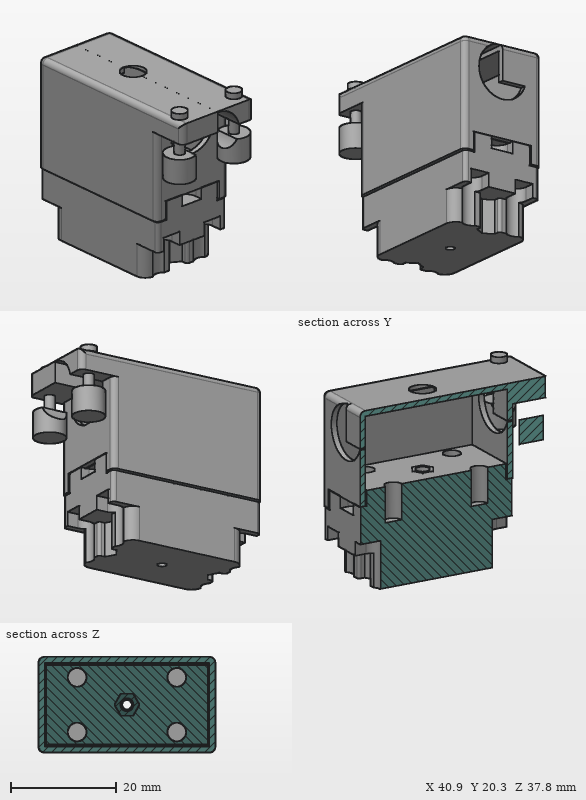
import cadquery as cq
import math


TOTAL_LENGTH = 40.85
TOTAL_WIDTH = 20.25
HOOD_LENGTH = 33.65
HOOD_WIDTH = 18.23
HOOD_BOTTOM = 13.5
HOOD_TOP = 36.5
FLANGE_BOTTOM = 32.12
EDGE_RADIUS = 1.2
WALL = 1.23
CENTRE_X = HOOD_LENGTH / 2
ACCESS_HOLE_DIAMETER = 5.2

CABLE_RADIUS = 5.55
CABLE_Z = 30.75
CABLE_STOP_Z = 28.95

KNOB_RADIUS = 3.2
SCREW_X = TOTAL_LENGTH - KNOB_RADIUS
SCREW_Y = TOTAL_WIDTH / 2 - KNOB_RADIUS
HEAD_RADIUS = 1.6
HEAD_TOP = 37.75
SHANK_RADIUS = 1.05
KNOB_BOTTOM = 23.75
KNOB_TOP = 28.9

COLLAR_INSET = 0.15
COLLAR_WIDTH = 17.55
COLLAR_BOTTOM = 6.85
COLLAR_TOP = 13.2
COLLAR_RADIUS = 0.8
PLUG_CLEARANCE = 0.25
PLUG_WIDTH = 15.12
PLUG_TOP = 20.45
TONGUE_INSET = 3.9
TONGUE_RADIUS = 2.25

TAB_WIDTH = 12.9
TAB_TOP = 17.25
TAB_SIDE_GAP = 0.33
NOTCH_RADIUS = 2.45
NOTCH_FLOOR = 14.8
NOTCH_CENTRE_X = 1.85

SOCKET_X = 2.45
SOCKET_Y = 5.2
SOCKET_RADIUS = 2.05
SOCKET_TOP = 9.7
KEY_X = 4.1
KEY_FLATS = 4.15
KEY_MOUTH_RADIUS = 0.6

CHAMBER_X = 7.35
CHAMBER_RADIUS = 1.75
CHAMBER_FLOOR = 13.2

NUT_FLATS = 4.0
NUT_HEIGHT = 4.1
NUT_TOP_BORE = 2.78
BORE_DIAMETER = 1.8


def block(x_min, x_max, width, z_min, z_max):
    """Box centred on Y = 0."""
    size = (x_max - x_min, width, z_max - z_min)
    return cq.Workplane("XY").box(*size, centered=(False, True, False)).translate((x_min, 0, z_min))


def cylinder(x, y, radius, z_min, z_max):
    """Upright cylinder."""
    return cq.Workplane("XY", origin=(x, y, z_min)).circle(radius).extrude(z_max - z_min)


def hexagon(x, flats, z_min, z_max):
    """Upright hexagonal prism with corners on the X axis."""
    corners = flats / math.cos(math.pi / 6)
    return cq.Workplane("XY", origin=(x, 0, z_min)).polygon(6, corners).extrude(z_max - z_min)


def at_both_ends(shape):
    """The shape together with its mirror image at the opposite X end of the connector."""
    return shape.union(shape.mirror("YZ", (CENTRE_X, 0, 0)))


def end_slot(y, half_width, x_centre, z_min, z_max):
    """Slot that runs in from the -X end and closes with a half round."""
    slot = block(0, x_centre, 2 * half_width, z_min, z_max).translate((0, y, 0))
    return slot.union(cylinder(x_centre, y, half_width, z_min, z_max))


def cable_opening():
    """Round bore through the whole hood along X, less its upper -Y part."""
    bore = cq.Workplane("YZ").center(0, CABLE_Z).circle(CABLE_RADIUS).extrude(TOTAL_LENGTH)
    stop_height = HOOD_TOP - CABLE_STOP_Z
    stop = cq.Workplane("XY", origin=(0, -CABLE_RADIUS, CABLE_STOP_Z))
    stop = stop.box(TOTAL_LENGTH, CABLE_RADIUS, stop_height, centered=False)
    return bore.cut(stop)


def clamp_screw(y):
    knob = cylinder(SCREW_X, y, KNOB_RADIUS, KNOB_BOTTOM, KNOB_TOP)
    shank = cylinder(SCREW_X, y, SHANK_RADIUS, KNOB_TOP, HOOD_TOP)
    head = cylinder(SCREW_X, y, HEAD_RADIUS, HOOD_TOP, HEAD_TOP)
    return knob.union(shank).union(head)


def make_hood():
    flange = block(0, TOTAL_LENGTH, HOOD_WIDTH, FLANGE_BOTTOM, HOOD_TOP)
    flange = flange.edges("|Z or (>Z and (not >X))").fillet(EDGE_RADIUS)
    case = block(0, HOOD_LENGTH, HOOD_WIDTH, HOOD_BOTTOM, FLANGE_BOTTOM)
    case = case.edges("|Z").fillet(EDGE_RADIUS)
    cavity = block(WALL, HOOD_LENGTH - WALL, HOOD_WIDTH - 2 * WALL, HOOD_BOTTOM, HOOD_TOP - WALL)
    tab_slot = block(0, WALL, TAB_WIDTH + 2 * TAB_SIDE_GAP, HOOD_BOTTOM, TAB_TOP)
    access_hole = cylinder(CENTRE_X, 0, ACCESS_HOLE_DIAMETER / 2, HOOD_TOP - WALL, HOOD_TOP)

    hood = case.union(flange).cut(cavity).cut(at_both_ends(tab_slot))
    for side in (-1, 1):
        hood = hood.union(clamp_screw(side * SCREW_Y))
    return hood.cut(access_hole).cut(cable_opening())


def make_tongue():
    """Lower part of the insert with a key slot in each end."""
    tongue = block(TONGUE_INSET, HOOD_LENGTH - TONGUE_INSET, COLLAR_WIDTH, 0, COLLAR_BOTTOM)
    tongue = tongue.edges("|Z").fillet(TONGUE_RADIUS)
    key_slot = hexagon(KEY_X, KEY_FLATS, 0, COLLAR_BOTTOM)
    tongue = tongue.cut(at_both_ends(key_slot))
    for end_x in (TONGUE_INSET, HOOD_LENGTH - TONGUE_INSET):
        for side in (-1, 1):
            mouth = cq.selectors.NearestToPointSelector((end_x, side * KEY_FLATS / 2, COLLAR_BOTTOM / 2))
            tongue = tongue.edges(mouth).fillet(KEY_MOUTH_RADIUS)
    return tongue


def make_insert():
    collar = block(COLLAR_INSET, HOOD_LENGTH - COLLAR_INSET, COLLAR_WIDTH, COLLAR_BOTTOM, COLLAR_TOP)
    collar = collar.edges("|Z").fillet(COLLAR_RADIUS)
    plug_start = WALL + PLUG_CLEARANCE
    plug = block(plug_start, HOOD_LENGTH - plug_start, PLUG_WIDTH, COLLAR_TOP, PLUG_TOP)
    tab = block(COLLAR_INSET, plug_start, TAB_WIDTH, COLLAR_TOP, TAB_TOP)
    insert = collar.union(plug).union(at_both_ends(tab)).union(make_tongue())

    insert = insert.cut(at_both_ends(end_slot(0, NOTCH_RADIUS, NOTCH_CENTRE_X, NOTCH_FLOOR, TAB_TOP)))
    for side in (-1, 1):
        socket = end_slot(side * SOCKET_Y, SOCKET_RADIUS, SOCKET_X, 0, SOCKET_TOP)
        chamber = cylinder(CHAMBER_X, side * SOCKET_Y, CHAMBER_RADIUS, CHAMBER_FLOOR, PLUG_TOP)
        insert = insert.cut(at_both_ends(socket)).cut(at_both_ends(chamber))

    nut_pocket = hexagon(CENTRE_X, NUT_FLATS, PLUG_TOP - NUT_HEIGHT, PLUG_TOP)
    jack_bore = cylinder(CENTRE_X, 0, BORE_DIAMETER / 2, 0, PLUG_TOP)
    return insert.cut(nut_pocket).cut(jack_bore)


def make_jack_nut():
    """Hexagonal nut whose bore narrows from the top down to the bore of the insert."""
    nut = hexagon(CENTRE_X, NUT_FLATS, PLUG_TOP - NUT_HEIGHT, PLUG_TOP)
    bore = cq.Workplane("XY", origin=(CENTRE_X, 0, PLUG_TOP)).circle(NUT_TOP_BORE / 2)
    bore = bore.workplane(offset=-NUT_HEIGHT).circle(BORE_DIAMETER / 2).loft()
    return nut.cut(bore)


hood = make_hood()
insert = make_insert()
jack_nut = make_jack_nut()

result = cq.Compound.makeCompound([hood.val(), insert.val(), jack_nut.val()])